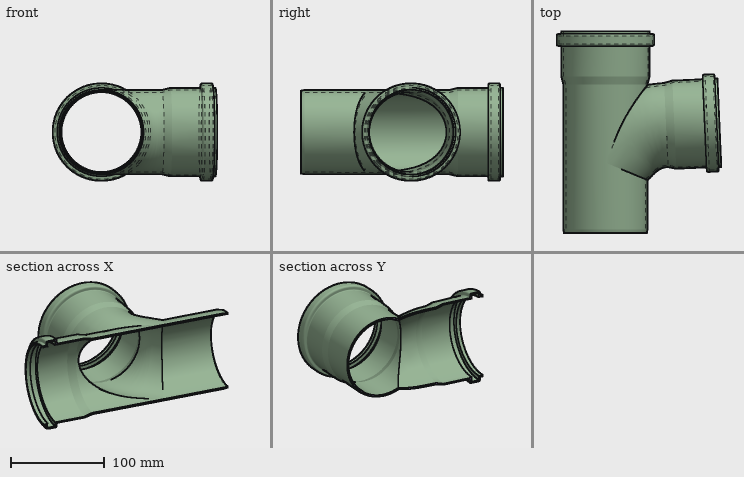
import cadquery as cq
import math

main_length = 216.0
pipe_radius = 90.3 / 2
bore_radius = 85.3 / 2
spigot_tip_radius = 88.8 / 2
spigot_chamfer_length = 3.9

socket_length = 57.2
socket_taper_length = 8.9
socket_radius = 94.5 / 2
socket_bore_radius = 90.7 / 2
lip_radius = 95.0 / 2
lip_length = 3.0
lip_round = 0.6
bead_radius = 104.5 / 2
bead_back_depth = 16.0
bead_round = 2.2
bead_foot_fillet = 0.9
seal_groove_radius = 100.2 / 2
seal_groove_start_depth = 5.0
seal_groove_end_depth = 13.5

junction_y = 75.4
branch_start_angle = 45.0
branch_end_angle = 2.5
branch_straight_length = 29.5
bend_radius = 66.0


def direction(angle):
    """Unit vector in the XY plane at an angle in degrees from +X."""
    return cq.Vector(math.cos(math.radians(angle)), math.sin(math.radians(angle)), 0)


def revolve_profile(points):
    """Solid of revolution about Y from (radius, axial position) points."""
    return cq.Workplane("XY").polyline(points).close().revolve(360, (0, 0), (0, 1))


def socket_body():
    """Outer shape of a socket: inner end at Y = 0, mouth at Y = socket_length."""
    bead_back = socket_length - bead_back_depth
    bead_front = socket_length - lip_length
    return (
        cq.Workplane("XY")
        .lineTo(pipe_radius, 0)
        .lineTo(socket_radius, socket_taper_length)
        .lineTo(socket_radius, bead_back - bead_foot_fillet)
        .tangentArcPoint((socket_radius + bead_foot_fillet, bead_back), relative=False)
        .lineTo(bead_radius - bead_round, bead_back)
        .tangentArcPoint((bead_radius, bead_back + bead_round), relative=False)
        .lineTo(bead_radius, bead_front - bead_round)
        .tangentArcPoint((bead_radius - bead_round, bead_front), relative=False)
        .lineTo(lip_radius + bead_foot_fillet, bead_front)
        .tangentArcPoint((lip_radius, bead_front + bead_foot_fillet), relative=False)
        .lineTo(lip_radius, socket_length - lip_round)
        .tangentArcPoint((lip_radius - lip_round, socket_length), relative=False)
        .lineTo(0, socket_length)
        .close()
        .revolve(360, (0, 0), (0, 1))
    )


def socket_cavity():
    """Stepped bore of a socket with its seal groove under the bead."""
    return revolve_profile([
        (0, 0),
        (bore_radius, 0),
        (socket_bore_radius, socket_taper_length),
        (socket_bore_radius, socket_length - seal_groove_end_depth),
        (seal_groove_radius, socket_length - seal_groove_end_depth),
        (seal_groove_radius, socket_length - seal_groove_start_depth),
        (socket_bore_radius, socket_length - seal_groove_start_depth),
        (socket_bore_radius, socket_length),
        (0, socket_length),
    ])


junction = cq.Vector(0, junction_y, 0)
bend_start = junction + direction(branch_start_angle) * branch_straight_length
bend_centre = bend_start + direction(branch_start_angle - 90) * bend_radius
mean_angle = (branch_start_angle + branch_end_angle) / 2
bend_middle = bend_centre + direction(mean_angle + 90) * bend_radius
bend_end = bend_centre + direction(branch_end_angle + 90) * bend_radius


def branch_pipe(radius):
    """Solid round bar following the branch centreline."""
    path = (
        cq.Workplane("XY")
        .moveTo(junction.x, junction.y)
        .lineTo(bend_start.x, bend_start.y)
        .threePointArc(bend_middle.toTuple()[:2], bend_end.toTuple()[:2])
    )
    section_plane = cq.Plane(junction, xDir=(0, 0, 1), normal=direction(branch_start_angle))
    return cq.Workplane(section_plane).circle(radius).sweep(path)


def on_main(socket):
    """Place a socket shape at the end of the main pipe."""
    return socket.translate((0, main_length - socket_length, 0))


def on_branch(socket):
    """Place a socket shape at the end of the bend."""
    turned = socket.rotate((0, 0, 0), (0, 0, 1), branch_end_angle - 90)
    return turned.translate(bend_end)


main_body = revolve_profile([
    (0, 0),
    (spigot_tip_radius, 0),
    (pipe_radius, spigot_chamfer_length),
    (pipe_radius, main_length - socket_length),
    (0, main_length - socket_length),
])
main_bore = revolve_profile([
    (0, 0),
    (bore_radius, 0),
    (bore_radius, main_length - socket_length),
    (0, main_length - socket_length),
])

body = (
    main_body
    .union(on_main(socket_body()))
    .union(branch_pipe(pipe_radius))
    .union(on_branch(socket_body()))
)
result = (
    body
    .cut(main_bore)
    .cut(on_main(socket_cavity()))
    .cut(branch_pipe(bore_radius))
    .cut(on_branch(socket_cavity()))
)